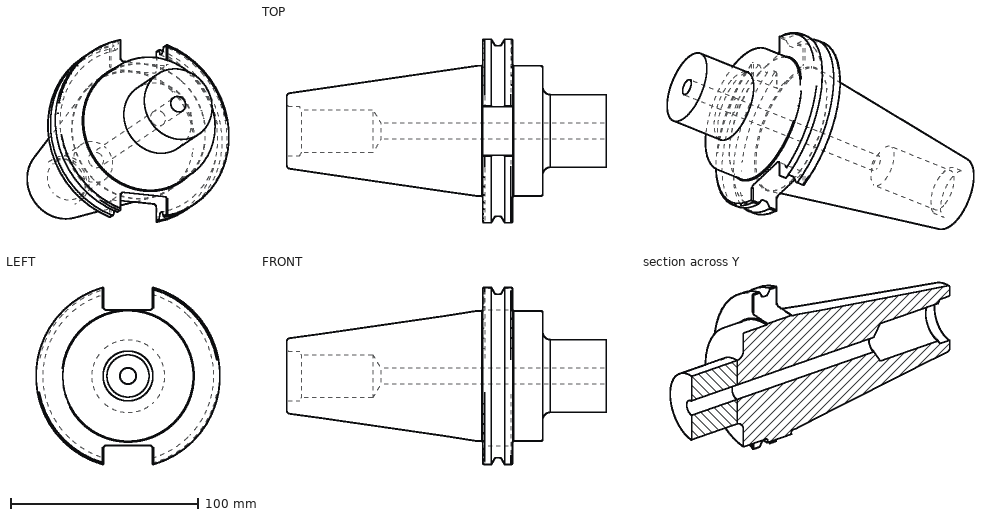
import cadquery as cq
import math

gauge_x = 101.5
gauge_radius = 34.8
taper_slope = 7 / 48
small_end_fillet = 2.0
small_end_radius = gauge_radius - taper_slope * gauge_x

flange_x = 104.5
flange_width = 16.0
flange_end_x = flange_x + flange_width
flange_radius = 49.1
rim_fillet = 1.0
root_fillet = 0.5

groove_center_x = 112.8
groove_depth = 3.5
groove_floor_width = 3.0
groove_half_angle = 30
groove_fillet = 1.2
groove_mouth_width = groove_floor_width + 2 * groove_depth * math.tan(math.radians(groove_half_angle))

slot_width = 26.0
slot_corner_fillet = 1.0
slot_edge_chamfer = 0.7
upper_slot_floor = 35.3
lower_slot_floor = 37.2

collar_end_x = 136.7
collar_edge_fillet = 1.0
neck_fillet = 4.1

nose_x = collar_end_x + neck_fillet
nose_end_x = 170.6
nose_radius = 19.5

pilot_radius = 13.3
pilot_depth = 6.7
pilot_shoulder_length = 1.2
pilot_corner_fillet = 0.5
pilot_edge_fillet = 1.0
bore_radius = 11.3
bore_depth = 46.0
drill_point_angle = 118
through_radius = 4.3


def make_shank_blank():
    """Taper, flange, collar and neck as one turned shape around X."""
    neck_center_radius = nose_radius + neck_fillet
    arc_offset = neck_fillet * math.sqrt(0.5)
    profile = (
        cq.Workplane("XY")
        .moveTo(0, 0)
        .lineTo(0, small_end_radius)
        .lineTo(gauge_x, gauge_radius)
        .lineTo(flange_x, gauge_radius)
        .lineTo(flange_x, flange_radius)
        .lineTo(flange_end_x, flange_radius)
        .lineTo(flange_end_x, gauge_radius)
        .lineTo(collar_end_x, gauge_radius)
        .lineTo(collar_end_x, neck_center_radius)
        .threePointArc(
            (nose_x - arc_offset, neck_center_radius - arc_offset),
            (nose_x, nose_radius),
        )
        .lineTo(nose_x, 0)
        .close()
    )
    return profile.revolve(360, (0, 0, 0), (1, 0, 0))


def ring_edge(x, radius):
    """Selector for the circular edge around X at one station."""
    margin = 0.02
    return cq.selectors.BoxSelector(
        (x - margin, -radius - margin, -radius - margin),
        (x + margin, radius + margin, radius + margin),
        boundingbox=True,
    ) - cq.selectors.BoxSelector(
        (x - margin, -radius + margin, -radius + margin),
        (x + margin, radius - margin, radius - margin),
        boundingbox=True,
    )


def round_turned_edges(shank):
    """Fillets on the circular edges of the blank."""
    shank = shank.edges(ring_edge(0, small_end_radius)).fillet(small_end_fillet)
    shank = shank.edges(ring_edge(collar_end_x, gauge_radius)).fillet(collar_edge_fillet)
    for face_x in (flange_x, flange_end_x):
        shank = shank.edges(ring_edge(face_x, gauge_radius)).fillet(root_fillet)
        shank = shank.edges(ring_edge(face_x, flange_radius)).fillet(rim_fillet)
    return shank


def make_groove():
    """V groove with a narrow floor, rounded where the walls meet the floor."""
    floor_radius = flange_radius - groove_depth
    clearance = 1.7
    profile = (
        cq.Workplane("XY")
        .moveTo(groove_center_x - groove_mouth_width / 2, flange_radius)
        .lineTo(groove_center_x - groove_floor_width / 2, floor_radius)
        .lineTo(groove_center_x + groove_floor_width / 2, floor_radius)
        .lineTo(groove_center_x + groove_mouth_width / 2, flange_radius)
        .lineTo(groove_center_x + groove_mouth_width / 2, flange_radius + clearance)
        .lineTo(groove_center_x - groove_mouth_width / 2, flange_radius + clearance)
        .close()
    )
    ring = profile.revolve(360, (0, 0, 0), (1, 0, 0))
    for side in (-1, 1):
        corner_x = groove_center_x + side * groove_floor_width / 2
        ring = ring.edges(ring_edge(corner_x, floor_radius)).fillet(groove_fillet)
    return ring


def make_slot(floor_height):
    """Slot on the +Z side with rounded floor corners and chamfered wall edges."""
    half_width = slot_width / 2
    mouth_half_width = half_width + slot_edge_chamfer
    rim_height = math.sqrt(flange_radius**2 - half_width**2)
    channel = (
        cq.Workplane("XY", origin=(flange_x, 0, floor_height))
        .box(flange_width, slot_width, flange_radius - floor_height, centered=(False, True, False))
        .edges("|X and <Z")
        .fillet(slot_corner_fillet)
    )
    rim_flare = (
        cq.Workplane("YZ", origin=(flange_x, 0, 0))
        .moveTo(-half_width, rim_height - slot_edge_chamfer)
        .lineTo(half_width, rim_height - slot_edge_chamfer)
        .lineTo(mouth_half_width, rim_height)
        .lineTo(mouth_half_width, flange_radius)
        .lineTo(-mouth_half_width, flange_radius)
        .lineTo(-mouth_half_width, rim_height)
        .close()
        .extrude(flange_width)
    )
    slot = channel.union(rim_flare)
    flare_base = floor_height + slot_corner_fillet
    for face_x, inward in ((flange_x, 1), (flange_end_x, -1)):
        face_flare = (
            cq.Workplane("XY", origin=(face_x, 0, flare_base))
            .moveTo(0, -mouth_half_width)
            .lineTo(0, mouth_half_width)
            .lineTo(inward * slot_edge_chamfer, half_width)
            .lineTo(inward * slot_edge_chamfer, -half_width)
            .close()
            .extrude(flange_radius - flare_base)
        )
        slot = slot.union(face_flare)
    return slot


def make_bore():
    """Pilot, deep bore with a drill point, and a through hole."""
    point_length = (bore_radius - through_radius) / math.tan(math.radians(drill_point_angle / 2))
    profile = (
        cq.Workplane("XY")
        .moveTo(0, 0)
        .lineTo(0, pilot_radius)
        .lineTo(pilot_depth, pilot_radius)
        .lineTo(pilot_depth + pilot_shoulder_length, bore_radius)
        .lineTo(bore_depth, bore_radius)
        .lineTo(bore_depth + point_length, through_radius)
        .lineTo(nose_x, through_radius)
        .lineTo(nose_x, 0)
        .close()
    )
    bore = profile.revolve(360, (0, 0, 0), (1, 0, 0))
    return bore.edges(ring_edge(pilot_depth, pilot_radius)).fillet(pilot_corner_fillet)


def make_shank():
    shank = round_turned_edges(make_shank_blank())
    shank = shank.cut(make_bore())
    shank = shank.edges(ring_edge(0, pilot_radius)).fillet(pilot_edge_fillet)
    shank = shank.cut(make_slot(upper_slot_floor))
    shank = shank.cut(make_slot(lower_slot_floor).rotate((0, 0, 0), (1, 0, 0), 180))
    return shank.cut(make_groove())


def make_nose():
    return (
        cq.Workplane("YZ", origin=(nose_x, 0, 0))
        .circle(nose_radius)
        .circle(through_radius)
        .extrude(nose_end_x - nose_x)
    )


shank = make_shank()
nose = make_nose()
result = cq.Compound.makeCompound([shank.val(), nose.val()])